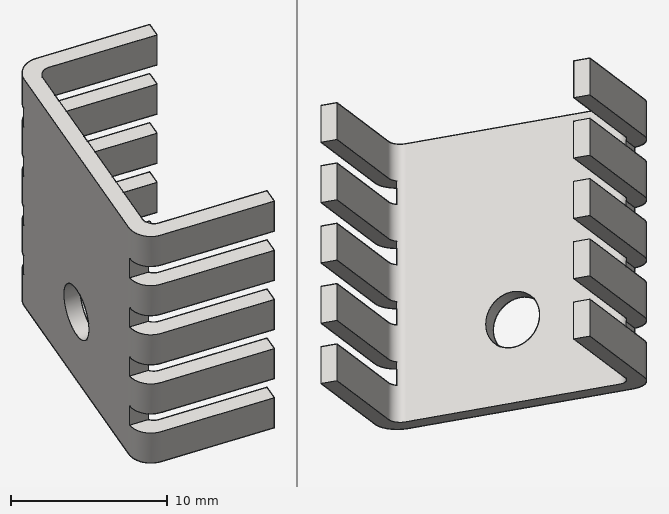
import cadquery as cq

width = 19.05
depth = 9.52
height = 19.05

thickness = 1.15
outer_bend_radius = 1.56
inner_bend_radius = 0.8

finger_count = 5
slot_height = 1.6
slot_depth = 1.41
finger_height = (height - (finger_count - 1) * slot_height) / finger_count
finger_pitch = finger_height + slot_height

hole_diameter = 3.81
hole_height = 5.72


def block(x_size, y_size, z_size):
    """Block centred on X, with its front face on Y = 0 and its base on Z = 0."""
    return cq.Workplane("XY").box(x_size, y_size, z_size, centered=(True, False, False))


def bent_channel():
    """U-shaped channel, open toward +Y, with rounded bends."""
    outside = block(width, depth, height).edges("|Z and <Y").fillet(outer_bend_radius)
    inside = (
        block(width - 2 * thickness, depth, height)
        .edges("|Z and <Y")
        .fillet(inner_bend_radius)
        .translate((0, thickness, 0))
    )
    return outside.cut(inside)


def finger_slots():
    """Cutters that split both side walls into fingers."""
    side_centre = width / 2 - slot_depth / 2
    slots = cq.Workplane("XY")
    for gap in range(finger_count - 1):
        slot_base = finger_height + gap * finger_pitch
        for side in (-1, 1):
            slot = block(slot_depth, depth, slot_height)
            slots = slots.add(slot.translate((side * side_centre, 0, slot_base)))
    return slots.combine()


def mounting_hole():
    """Cylinder through the flat web."""
    return (
        cq.Workplane("XZ", origin=(0, 0, hole_height))
        .circle(hole_diameter / 2)
        .extrude(-2 * thickness)
    )


result = bent_channel().cut(finger_slots()).cut(mounting_hole())